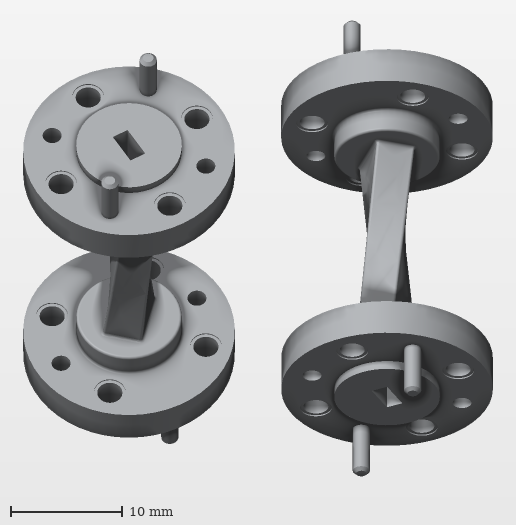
import cadquery as cq
import math

total_length = 39.62
pin_length = 4.7

flange_diameter = 19.05
flange_thickness = 3.35
boss_diameter = 9.5
mating_face_height = 0.85
collar_height = 2.2
edge_radius = 0.25

pitch_radius = 7.15
screw_hole_diameter = 2.25
counterbore_diameter = 2.85
counterbore_depth = 0.1
pin_hole_diameter = 1.7
pin_diameter = 1.55
pin_chamfer = 0.297

screw_angles = [0, 90, 180, 270]
pin_angles = [45, 225]
pin_hole_angles = [135, 315]

bore_width = 3.1
bore_height = 1.55
wall = 1.03
twist_angle = 45.0

plate_bottom = pin_length
plate_top = plate_bottom + flange_thickness
tube_start = plate_top + collar_height
tube_end = total_length - tube_start
mid_level = total_length / 2


def disc(diameter, base, height):
    """Upright cylinder on the axis, standing on the base level."""
    return cq.Workplane("XY").workplane(offset=base).circle(diameter / 2).extrude(height)


def on_pitch_circle(shape, angles):
    """Copies of a shape moved from the axis to the given angles of the pitch circle."""
    copies = cq.Workplane("XY")
    for angle in angles:
        x = pitch_radius * math.cos(math.radians(angle))
        y = pitch_radius * math.sin(math.radians(angle))
        copies = copies.add(shape.translate((x, y, 0)))
    return copies.combine()


def flange_blank():
    """Plate with the raised mating face below and the filleted collar above."""
    boss_radius = boss_diameter / 2
    profile = (
        cq.Workplane("XZ")
        .moveTo(0, plate_bottom - mating_face_height)
        .lineTo(boss_radius, plate_bottom - mating_face_height)
        .lineTo(boss_radius, plate_bottom)
        .lineTo(flange_diameter / 2, plate_bottom)
        .lineTo(flange_diameter / 2, plate_top)
        .lineTo(boss_radius + edge_radius, plate_top)
        .radiusArc((boss_radius, plate_top + edge_radius), edge_radius)
        .lineTo(boss_radius, tube_start - edge_radius)
        .radiusArc((boss_radius - edge_radius, tube_start), -edge_radius)
        .lineTo(0, tube_start)
        .close()
    )
    return profile.revolve(360, (0, 0), (0, 1))


def screw_hole():
    """Through hole with a shallow counterbore on both faces of the plate."""
    hole = disc(screw_hole_diameter, plate_bottom, flange_thickness)
    for base in (plate_bottom, plate_top - counterbore_depth):
        hole = hole.union(disc(counterbore_diameter, base, counterbore_depth))
    return hole


def complete_flange():
    """Flange with its mating face and its two alignment pins pointing down."""
    pin_hole = disc(pin_hole_diameter, plate_bottom, flange_thickness)
    pin = disc(pin_diameter, 0, pin_length).faces("<Z").chamfer(pin_chamfer)
    body = flange_blank()
    body = body.cut(on_pitch_circle(screw_hole(), screw_angles))
    body = body.cut(on_pitch_circle(pin_hole, pin_hole_angles))
    return body.union(on_pitch_circle(pin, pin_angles))


def twist_turn(shape):
    """Turn a shape about the axis from the upper to the lower flange's orientation."""
    return shape.rotate((0, 0, 0), (0, 0, 1), -twist_angle)


def twisted_bar(outline):
    """Bar with ruled sides over the tube length, from an outline wire lying at level zero."""
    upper = cq.Workplane(outline).translate((0, 0, tube_end)).val()
    lower = twist_turn(cq.Workplane(outline)).translate((0, 0, tube_start)).val()
    edge_pairs = zip(lower.Edges(), upper.Edges())
    faces = [cq.Face.makeRuledSurface(low, high) for low, high in edge_pairs]
    faces += [cq.Face.makeFromWires(lower), cq.Face.makeFromWires(upper)]
    return cq.Workplane(cq.Solid.makeSolid(cq.Shell.makeShell(faces)))


flange = complete_flange()
lower_flange = twist_turn(flange)
upper_flange = flange.rotate((0, 0, mid_level), (1, 0, mid_level), 180)

tube_block = cq.Workplane("XY").rect(bore_width + 2 * wall, bore_height + 2 * wall).extrude(mid_level)
tube_outline = tube_block.edges("|Z").fillet(edge_radius).faces("<Z").wires().val()
body = lower_flange.union(upper_flange).union(twisted_bar(tube_outline))

joint_reach = boss_diameter / 2 - 2 * edge_radius
joint_margin = edge_radius / 4
for level in (tube_start, tube_end):
    joint = cq.selectors.BoxSelector(
        (-joint_reach, -joint_reach, level - joint_margin),
        (joint_reach, joint_reach, level + joint_margin),
    )
    body = body.edges(joint).fillet(edge_radius)

straight_bore = cq.Workplane("XY").rect(bore_width, bore_height).extrude(tube_start)
bore_outline = straight_bore.faces("<Z").wires().val()
bore = twisted_bar(bore_outline)
bore = bore.union(twist_turn(straight_bore))
bore = bore.union(straight_bore.translate((0, 0, tube_end)))

result = body.cut(bore)